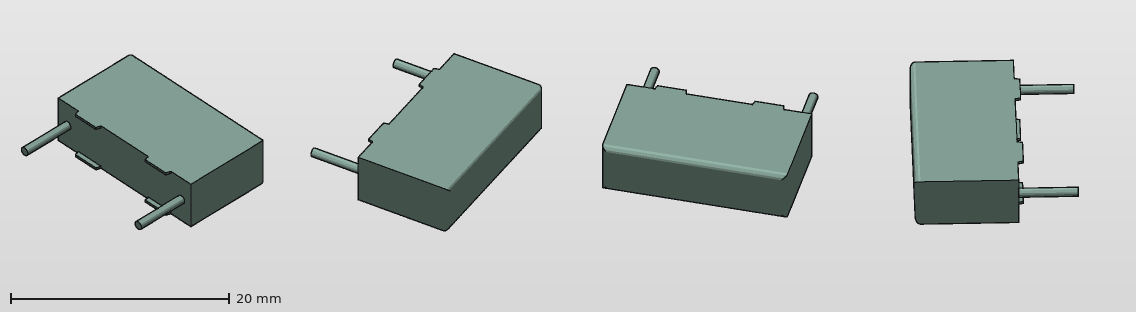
import cadquery as cq

overall_depth = 15.0

case_length = 17.5
case_depth = 9.5
case_thickness = 5.0
back_edge_radius = 0.5

foot_height = 0.5
foot_thickness = 0.25
foot_root_width = 3.0
foot_tip_width = 2.71
foot_spacing = 9.22

lead_diameter = 0.85
lead_spacing = 15.0
lead_length = overall_depth - case_depth

lead_face_y = 0.0


def make_foot(center_x, bottom_z):
    """Tapered foot that stands on the lead face and narrows toward its tip."""
    half_root = foot_root_width / 2
    half_tip = foot_tip_width / 2
    tip_y = lead_face_y - foot_height
    return (
        cq.Workplane("XY", origin=(center_x, 0, bottom_z))
        .moveTo(-half_root, lead_face_y)
        .lineTo(-half_tip, tip_y)
        .lineTo(half_tip, tip_y)
        .lineTo(half_root, lead_face_y)
        .close()
        .extrude(foot_thickness)
    )


def make_case():
    """Box with a rounded rim around its back face and four feet on its lead face."""
    case = (
        cq.Workplane("XY", origin=(0, lead_face_y, 0))
        .box(case_length, case_depth, case_thickness, centered=(True, False, True))
        .faces(">Y")
        .edges()
        .fillet(back_edge_radius)
    )
    lower_foot_z = -case_thickness / 2
    upper_foot_z = case_thickness / 2 - foot_thickness
    for center_x in (-foot_spacing / 2, foot_spacing / 2):
        for bottom_z in (lower_foot_z, upper_foot_z):
            case = case.union(make_foot(center_x, bottom_z))
    return case


def make_lead(center_x):
    """Straight round lead that meets the lead face end-on."""
    return (
        cq.Workplane("XZ", origin=(center_x, lead_face_y, 0))
        .circle(lead_diameter / 2)
        .extrude(lead_length)
    )


case = make_case()
leads = [make_lead(center_x) for center_x in (-lead_spacing / 2, lead_spacing / 2)]

result = cq.Compound.makeCompound([case.val(), *[lead.val() for lead in leads]])